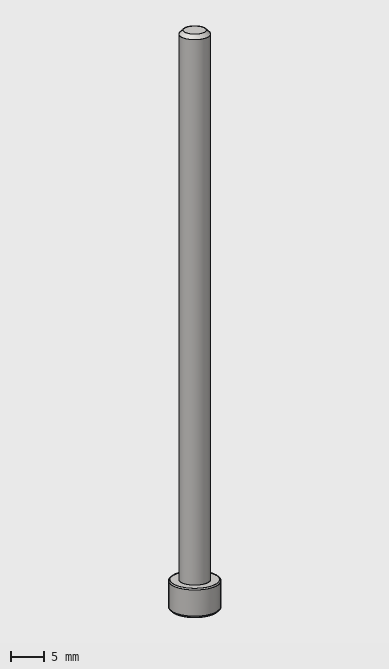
import cadquery as cq

INCH = 25.4
shank_diameter = 0.190 * INCH
shank_length = 3.5 * INCH
head_diameter = 0.3125 * INCH
head_height = shank_diameter

tip_chamfer = 0.65
head_end_chamfer = 0.4
head_seat_chamfer = 0.2


def make_head():
    """Cylindrical head below Z = 0, chamfered at its end and its seat."""
    head = cq.Workplane("XY").circle(head_diameter / 2).extrude(-head_height)
    head = head.faces("<Z").edges().chamfer(head_end_chamfer)
    return head.faces(">Z").edges().chamfer(head_seat_chamfer)


def make_shank():
    """Plain shank rising from the head seat, chamfered at its tip."""
    shank = cq.Workplane("XY").circle(shank_diameter / 2).extrude(shank_length)
    return shank.faces(">Z").edges().chamfer(tip_chamfer)


result = make_head().union(make_shank())